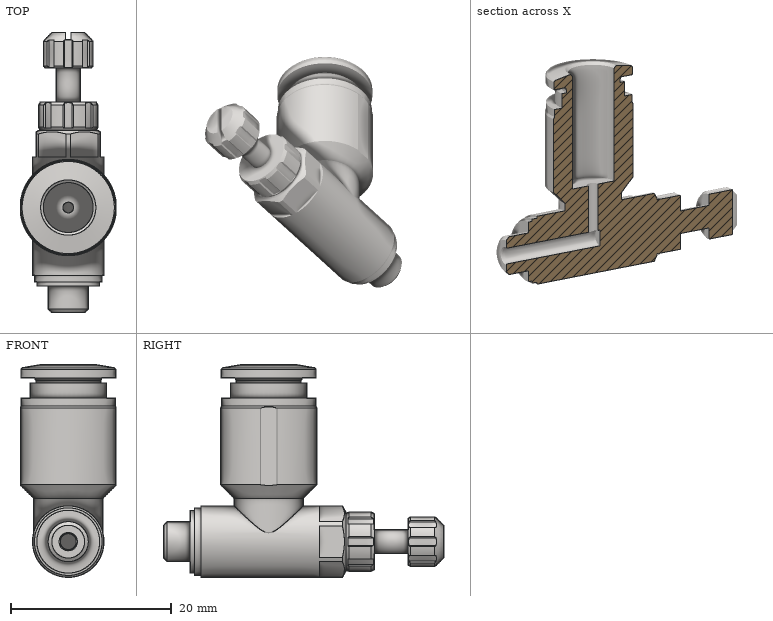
import cadquery as cq
import math


BODY_DIA = 8.9
BODY_FRONT = -8.45
BODY_BACK = 6.3
SEAL_DIA = 8.4
SEAL_FRONT = -9.25
SEAT_DIA = 7.8
SEAT_FRONT = -9.75
PIN_DIA = 5.0
PIN_FRONT = -13.07
PIN_CHAMFER = 0.45
BORE_DIA = 2.0
BORE_CHAMFER = 0.15
BORE_BACK = BORE_DIA / 2

HEX_SIDES = 6
HEX_HALF_ANGLE = 180 / HEX_SIDES
HEX_FLATS = 7.98
HEX_BACK = 9.6
HEX_FACE_DIA = 7.4
HEX_CHAMFER_ANGLE = 30

NUT_DIA = 7.5
NUT_BACK = 13.15
NUT_CHAMFER = 0.42
NUT_CHAMFER_DEPTH = 0.28
NUT_GROOVE_FRONT = 9.85
STEM_DIA = 3.0
KNOB_DIA = 6.3
KNOB_FRONT = 17.32
KNOB_BACK = 21.78
KNOB_CHAMFER = 0.28
KNOB_TIP_DIA = 4.0
KNOB_CONE = (KNOB_DIA - KNOB_TIP_DIA) / 2
SLOT_WIDTH = 0.65
SLOT_DEPTH = 0.9

GROOVE_COUNT = 8
GROOVE_FLOOR = 0.95
GROOVE_MOUTH = 1.35
GROOVE_DEPTH = 0.2

BRANCH_DIA = 8.6
PORT_DIA = 12.0
PORT_FLATS = 11.8
PORT_BOTTOM = 7.07
PORT_CONE = (PORT_DIA - BRANCH_DIA) / 2
PORT_TOP = 16.85
PORT_CHAMFER = 0.28
CAP_DIA = 11.7
CAP_TOP = 17.85
COLLAR_DIA = 9.5
COLLAR_TOP = 19.73
NECK_DIA = 8.1
NECK_TOP = 20.05
NECK_FLARE_DIA = 8.4
BUTTON_DIA = 11.8
BUTTON_BOTTOM = 20.35
BUTTON_EDGE = 21.4
BUTTON_RIM = 21.6
BUTTON_RIM_DIA = 11.45
OVERALL_HEIGHT = 26.45
BUTTON_TOP = OVERALL_HEIGHT - BODY_DIA / 2
TUBE_DIA = 6.2
TUBE_MOUTH_DIA = 6.85
TUBE_MOUTH_CHAMFER = (TUBE_MOUTH_DIA - TUBE_DIA) / 2
TUBE_FLOOR = PORT_BOTTOM
PASSAGE_DIA = 1.32


def turned_y(profile):
    """Revolve (diameter, y) pairs about the Y axis."""
    points = [(0, profile[0][1])]
    points += [(dia / 2, y) for dia, y in profile]
    points += [(0, profile[-1][1])]
    return cq.Workplane("XY").polyline(points).close().revolve(360, (0, 0), (0, 1))


def turned_z(profile):
    """Revolve (diameter, z) pairs about the Z axis."""
    return turned_y(profile).rotate((0, 0, 0), (1, 0, 0), 90)


def rod_y(dia, front, back):
    return turned_y([(dia, front), (dia, back)])


def cut_grooves(grip, dia, front, back):
    """Cut evenly spaced trapezoidal grooves along Y into a round grip."""
    floor = dia / 2 - GROOVE_DEPTH
    flare = (GROOVE_MOUTH - GROOVE_FLOOR) / 2
    outside = floor + 2 * GROOVE_DEPTH
    groove = (
        cq.Workplane("XZ", origin=(0, back, 0))
        .polyline([
            (-GROOVE_FLOOR / 2, floor),
            (GROOVE_FLOOR / 2, floor),
            (GROOVE_FLOOR / 2 + 2 * flare, outside),
            (-GROOVE_FLOOR / 2 - 2 * flare, outside),
        ])
        .close()
        .extrude(back - front)
    )
    for index in range(GROOVE_COUNT):
        angle = index * 360 / GROOVE_COUNT
        grip = grip.cut(groove.rotate((0, 0, 0), (0, 1, 0), angle))
    return grip


def make_body():
    return turned_y([
        (PIN_DIA - 2 * PIN_CHAMFER, PIN_FRONT),
        (PIN_DIA, PIN_FRONT + PIN_CHAMFER),
        (PIN_DIA, SEAT_FRONT),
        (SEAT_DIA, SEAT_FRONT),
        (SEAT_DIA, SEAL_FRONT),
        (SEAL_DIA, SEAL_FRONT),
        (SEAL_DIA, BODY_FRONT),
        (BODY_DIA, BODY_FRONT),
        (BODY_DIA, BODY_BACK),
    ])


def make_hexagon():
    """Hexagon with two flats facing X, rounded corners and a chamfered back face."""
    chamfer = (BODY_DIA - HEX_FACE_DIA) / 2 * math.tan(math.radians(HEX_CHAMFER_ANGLE))
    blank = turned_y([
        (BODY_DIA, BODY_BACK),
        (BODY_DIA, HEX_BACK - chamfer),
        (HEX_FACE_DIA, HEX_BACK),
    ])
    across_corners = HEX_FLATS / math.cos(math.radians(HEX_HALF_ANGLE))
    prism = (
        cq.Workplane("XZ", origin=(0, HEX_BACK, 0))
        .polygon(HEX_SIDES, across_corners)
        .extrude(HEX_BACK - BODY_BACK)
        .rotate((0, 0, 0), (0, 1, 0), HEX_HALF_ANGLE)
    )
    return blank.intersect(prism)


def make_nut():
    end_dia = NUT_DIA - 2 * NUT_CHAMFER_DEPTH
    nut = turned_y([
        (end_dia, HEX_BACK),
        (NUT_DIA, HEX_BACK + NUT_CHAMFER),
        (NUT_DIA, NUT_BACK - NUT_CHAMFER),
        (end_dia, NUT_BACK),
    ])
    return cut_grooves(nut, NUT_DIA, NUT_GROOVE_FRONT, NUT_BACK)


def make_knob():
    knob = turned_y([
        (KNOB_DIA - 2 * KNOB_CHAMFER, KNOB_FRONT),
        (KNOB_DIA, KNOB_FRONT + KNOB_CHAMFER),
        (KNOB_DIA, KNOB_BACK - KNOB_CONE),
        (KNOB_TIP_DIA, KNOB_BACK),
    ])
    knob = cut_grooves(knob, KNOB_DIA, KNOB_FRONT, KNOB_BACK)
    slot = cq.Workplane("XY").box(SLOT_WIDTH, 2 * SLOT_DEPTH, KNOB_DIA)
    return knob.cut(slot.translate((0, KNOB_BACK, 0)))


def make_port():
    """Branch, port shell with two side flats, and the release button on top."""
    shell = turned_z([
        (BRANCH_DIA, 0),
        (BRANCH_DIA, PORT_BOTTOM - PORT_CONE),
        (PORT_DIA, PORT_BOTTOM),
        (PORT_DIA, PORT_TOP - PORT_CHAMFER),
        (CAP_DIA, PORT_TOP),
        (CAP_DIA, CAP_TOP),
    ])
    flats = cq.Workplane("XY").box(PORT_FLATS, PORT_DIA, CAP_TOP, centered=(True, True, False))
    button = turned_z([
        (COLLAR_DIA, CAP_TOP),
        (COLLAR_DIA, COLLAR_TOP),
        (NECK_DIA, COLLAR_TOP),
        (NECK_DIA, NECK_TOP),
        (NECK_FLARE_DIA, BUTTON_BOTTOM),
        (BUTTON_DIA, BUTTON_BOTTOM),
        (BUTTON_DIA, BUTTON_EDGE),
        (BUTTON_RIM_DIA, BUTTON_RIM),
        (TUBE_MOUTH_DIA, BUTTON_TOP),
    ])
    return shell.intersect(flats).union(button)


def make_pin_bore():
    return turned_y([
        (BORE_DIA + 2 * BORE_CHAMFER, PIN_FRONT),
        (BORE_DIA, PIN_FRONT + BORE_CHAMFER),
        (BORE_DIA, BORE_BACK),
    ])


def make_tube_bore():
    """Tube socket with a narrow passage down to the pin bore."""
    return turned_z([
        (PASSAGE_DIA, 0),
        (PASSAGE_DIA, TUBE_FLOOR),
        (TUBE_DIA, TUBE_FLOOR),
        (TUBE_DIA, BUTTON_TOP - TUBE_MOUTH_CHAMFER),
        (TUBE_MOUTH_DIA, BUTTON_TOP),
    ])


result = (
    make_body()
    .union(make_port())
    .union(make_hexagon())
    .union(make_nut())
    .union(rod_y(STEM_DIA, NUT_BACK, KNOB_FRONT))
    .union(make_knob())
    .cut(make_pin_bore())
    .cut(make_tube_bore())
)